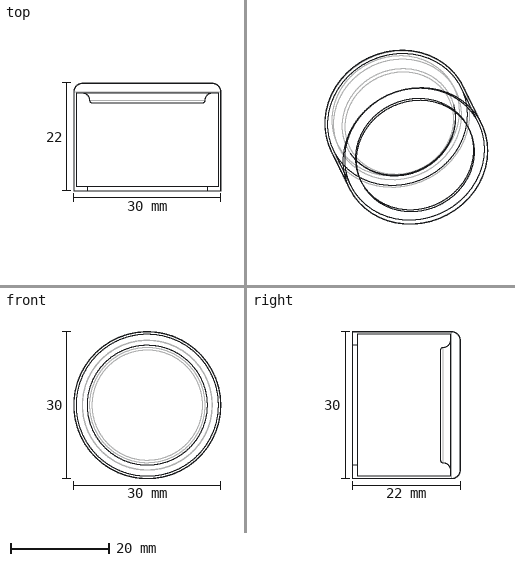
import cadquery as cq

outer_radius = 15.0
length = 22.0
outer_fillet = 1.8

mouth_radius = 12.25
lip_depth = 1.0
cavity_radius = 14.5
end_thickness = 2.0
floor_depth = length - end_thickness

pad_radius = 11.75
pad_rim_fillet = 0.5
pad_root_fillet = 1.5
pad_height = pad_rim_fillet + pad_root_fillet


def cylinder_along_y(radius, start, end):
    """Solid cylinder on the Y axis between two distances from the mouth plane."""
    return cq.Workplane("XZ", origin=(0, start, 0)).circle(radius).extrude(start - end)


def make_shell():
    body = cylinder_along_y(outer_radius, 0, length)
    body = body.faces(">Y").edges().fillet(outer_fillet)
    mouth = cylinder_along_y(mouth_radius, 0, lip_depth)
    cavity = cylinder_along_y(cavity_radius, lip_depth, floor_depth)
    return body.cut(mouth).cut(cavity)


def make_pad():
    """Revolved pad with a rounded rim and a concave root blending into the floor."""
    pad_top = floor_depth - pad_height
    profile = (
        cq.Workplane("XY")
        .moveTo(0, pad_top)
        .lineTo(pad_radius - pad_rim_fillet, pad_top)
        .radiusArc((pad_radius, pad_top + pad_rim_fillet), -pad_rim_fillet)
        .radiusArc((pad_radius + pad_root_fillet, floor_depth), pad_root_fillet)
        .lineTo(pad_radius + pad_root_fillet, length - outer_fillet)
        .lineTo(0, length - outer_fillet)
        .close()
    )
    return profile.revolve(360, (0, 0, 0), (0, 1, 0))


result = make_shell().union(make_pad())